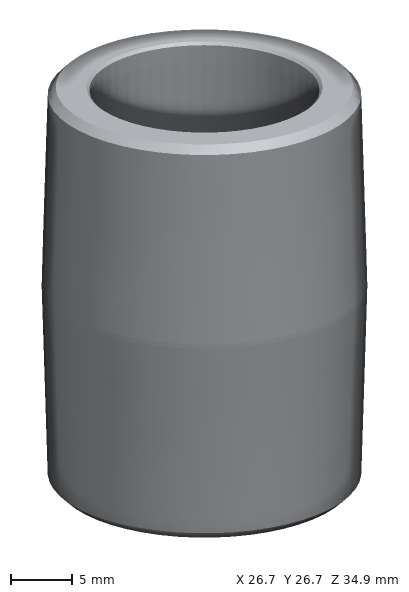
import cadquery as cq

length = 34.92
middle_diameter = 26.68
end_diameter = 25.7
bore_diameter = 18.85

band_height = 0.4

outer_chamfer = 0.65
bore_chamfer = 0.25

half_length = length / 2
half_band = band_height / 2
middle_radius = middle_diameter / 2
end_radius = end_diameter / 2
bore_radius = bore_diameter / 2
shoulder_height = half_length - outer_chamfer
face_outer_radius = end_radius - outer_chamfer
face_inner_radius = bore_radius + bore_chamfer
bore_straight_height = half_length - bore_chamfer

section = (
    cq.Workplane("XZ")
    .moveTo(bore_radius, -bore_straight_height)
    .lineTo(face_inner_radius, -half_length)
    .lineTo(face_outer_radius, -half_length)
    .lineTo(end_radius, -shoulder_height)
    .lineTo(middle_radius, -half_band)
    .lineTo(middle_radius, half_band)
    .lineTo(end_radius, shoulder_height)
    .lineTo(face_outer_radius, half_length)
    .lineTo(face_inner_radius, half_length)
    .lineTo(bore_radius, bore_straight_height)
    .close()
)

result = section.revolve(360, (0, 0, 0), (0, 1, 0))